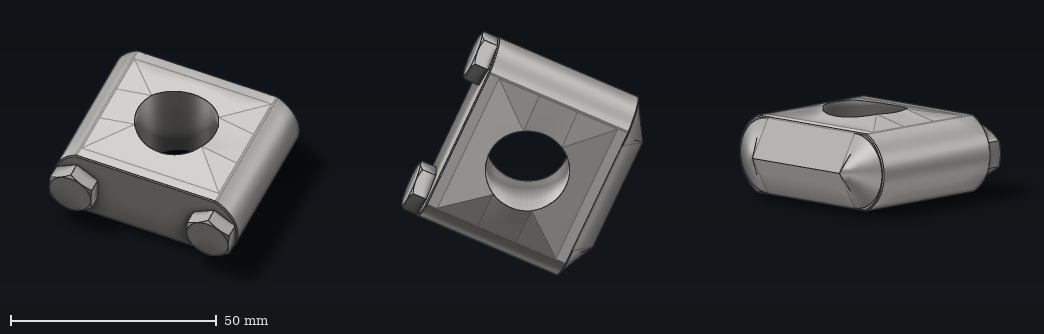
import cadquery as cq
import math

block_width = 48.95
block_length = 37.5
block_height = 19.1
end_radius = 10.65
end_edge_chamfer = 0.3
long_bevel_width = 0.4
long_bevel_drop = 0.1

hole_radius = 10.25
pad_width = 36.4
pad_length = 31.6
overall_height = 22.85
rim_half_length = 5.1
pad_overlap = 0.1

ridge_length = 29.45
ridge_slope = math.radians(30)

bolt_spacing = 36.5
hex_across_flats = 11.1
head_height = 4.1
head_face_radius = 5.5
head_chamfer_slope = math.radians(30)

half_width = block_width / 2
half_length = block_length / 2
half_height = block_height / 2
rim_half_width = math.sqrt(hole_radius**2 - rim_half_length**2)


def make_block():
    """Slab with round long sides beside narrow bevels, edges of both ends broken."""
    end_centre = half_width - end_radius
    arc_z = half_height - long_bevel_drop
    arc_x = end_centre + math.sqrt(end_radius**2 - arc_z**2)
    flat_x = arc_x - long_bevel_width
    outline = (
        cq.Workplane("XZ", origin=(0, half_length, 0))
        .moveTo(-flat_x, half_height)
        .lineTo(flat_x, half_height)
        .lineTo(arc_x, arc_z)
        .threePointArc((half_width, 0), (arc_x, -arc_z))
        .lineTo(flat_x, -half_height)
        .lineTo(-flat_x, -half_height)
        .lineTo(-arc_x, -arc_z)
        .threePointArc((-half_width, 0), (-arc_x, arc_z))
        .close()
    )
    return outline.extrude(block_length).faces("<Y or >Y").chamfer(end_edge_chamfer)


def make_pad():
    """Hipped pad on the top face, rising to a level rim beside the hole."""
    rise = overall_height / 2 - half_height
    base = cq.Workplane("XY", origin=(0, 0, half_height))
    hipped = (
        base.rect(pad_width, pad_length)
        .workplane(offset=rise)
        .rect(2 * rim_half_width, 2 * rim_half_length)
        .loft(ruled=True)
    )
    strip = (
        base.moveTo(-pad_width / 2, -rim_half_length)
        .lineTo(pad_width / 2, -rim_half_length)
        .lineTo(pad_width / 2, rim_half_length)
        .lineTo(-pad_width / 2, rim_half_length)
        .close()
        .workplane(offset=rise)
        .moveTo(-rim_half_width, -rim_half_length)
        .lineTo(rim_half_width, -rim_half_length)
        .threePointArc((hole_radius, 0), (rim_half_width, rim_half_length))
        .lineTo(-rim_half_width, rim_half_length)
        .threePointArc((-hole_radius, 0), (-rim_half_width, -rim_half_length))
        .close()
        .loft(ruled=True)
    )
    foot = base.rect(pad_width, pad_length).extrude(-pad_overlap)
    return hipped.union(strip).union(foot)


def make_ridge():
    """Triangular ridge along X, closed by a half cone at each end."""
    base_half_height = half_height - end_edge_chamfer
    ridge_height = base_half_height * math.tan(ridge_slope)
    tip_y = half_length + ridge_height
    ridge = (
        cq.Workplane("YZ", origin=(-ridge_length / 2, 0, 0))
        .polyline([(half_length, -base_half_height), (tip_y, 0), (half_length, base_half_height)])
        .close()
        .extrude(ridge_length)
    )
    for x in (-ridge_length / 2, ridge_length / 2):
        cone = cq.Solid.makeCone(
            base_half_height, 0, ridge_height, cq.Vector(x, half_length, 0), cq.Vector(0, 1, 0)
        )
        ridge = ridge.union(cq.Workplane(cone))
    return ridge


def make_bolt_head(x):
    """Hexagonal head with two flats facing along X and a coned outer face."""
    corner_radius = hex_across_flats / 2 / math.cos(math.pi / 6)
    cone_depth = (corner_radius - head_face_radius) * math.tan(head_chamfer_slope)
    corners = [
        (corner_radius * math.sin(i * math.pi / 3), corner_radius * math.cos(i * math.pi / 3))
        for i in range(6)
    ]
    head = (
        cq.Workplane("XZ", origin=(x, -half_length, 0))
        .polyline(corners)
        .close()
        .extrude(head_height)
    )
    coned_blank = (
        cq.Workplane("XY", origin=(x, -half_length, 0))
        .polyline(
            [
                (0, 0),
                (corner_radius, 0),
                (corner_radius, cone_depth - head_height),
                (head_face_radius, -head_height),
                (0, -head_height),
            ]
        )
        .close()
        .revolve(360, (0, 0), (0, 1))
    )
    return head.intersect(coned_blank)


top_pad = make_pad()
result = make_block().union(top_pad).union(top_pad.mirror("XY")).union(make_ridge())
for bolt_x in (-bolt_spacing / 2, bolt_spacing / 2):
    result = result.union(make_bolt_head(bolt_x))

through_hole = (
    cq.Workplane("XY", origin=(0, 0, -overall_height / 2))
    .circle(hole_radius)
    .extrude(overall_height)
)
result = result.cut(through_hole)